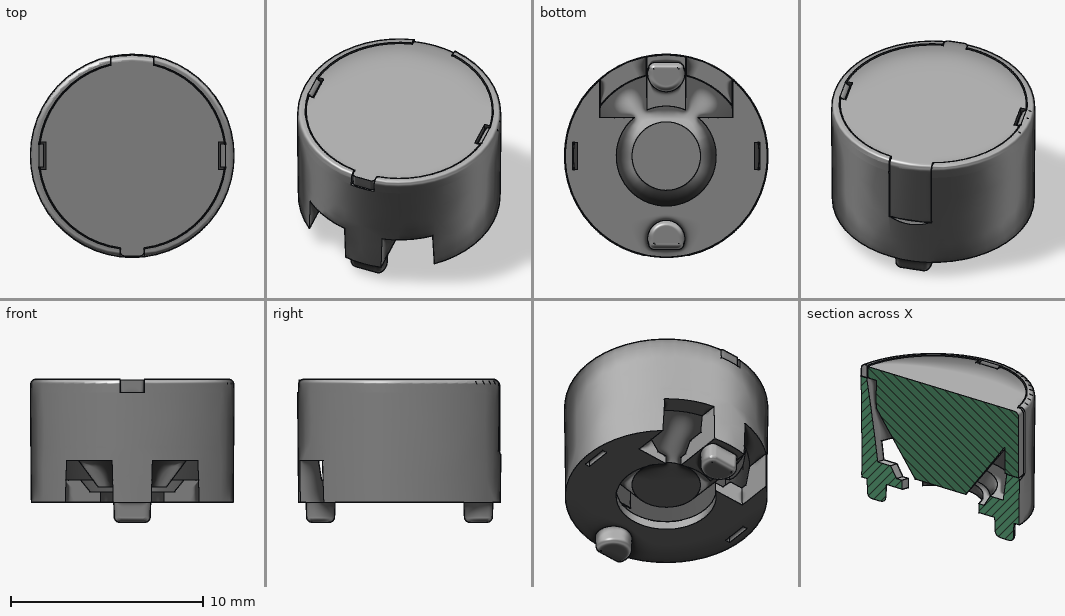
import cadquery as cq
import math

housing_height = 6.4
parting_height = 5.7
bottom_radius = 5.25
parting_radius = 5.3
top_radius = 5.27
rim_fillet = 0.26

floor_thickness = 1.15
cavity_floor_radius = 4.17
rim_bore_radius = 4.89
opening_radius = 2.6
countersink_height = 0.53
countersink_bottom_radius = 2.95
countersink_top_radius = 3.34

window_height = 2.165
post_half_width_bottom = 0.99
post_half_width_top = 1.045
window_outer_x_bottom = 3.48
window_outer_x_top = 3.415
window_back_y = -2.0

foot_radius = 0.97
foot_center_y = 4.31
foot_flat_y = 4.86
foot_length = 1.05
foot_taper = 2.0
foot_corner_fillet = 0.32
foot_end_fillet = 0.3

lid_top = 6.36
lid_radius = 4.83
lid_underside = parting_height
hub_radius = 4.3
cone_tip_height = 0.8
cone_tip_radius = 1.78
cone_slope = 0.75
cone_top = cone_tip_height + (hub_radius - cone_tip_radius) / cone_slope

front_notch_width = 1.27
front_tab_width = 1.22
front_tab_y = -5.21
front_tab_corner_radius = 0.2

rear_slot_width = 2.28
rear_leg_width = 2.2
rear_leg_radius = 5.22
rear_leg_inner_y = 4.25
rear_leg_fillet = 0.32
rear_slot_bottom = 2.67
rear_slot_inner_y = 3.25
rear_ledge_chamfer_height = 0.21
rear_ledge_chamfer_depth = 0.1

hook_width = 1.2
hook_tip_x = 4.6
hook_root_x = 4.84
hook_bottom = 5.95
hook_tip_height = 0.24
hook_embed_x = 4.95
relief_outer_x = 4.87
recess_width = 1.42
recess_inner_x = 4.49

reach = 8.0


def block(x_min, x_max, y_min, y_max, z_min, z_max):
    """Axis-aligned box between the given limits."""
    size = (x_max - x_min, y_max - y_min, z_max - z_min)
    return cq.Workplane("XY").box(*size, centered=False).translate((x_min, y_min, z_min))


def revolved(profile):
    """Solid of revolution about Z from (radius, height) points."""
    return cq.Workplane("XZ").polyline(profile).close().revolve(360, (0, 0, 0), (0, 1, 0))


def shell():
    """Drafted round shell with a tapered cavity and a countersunk floor opening."""
    outside = revolved([
        (0, 0),
        (bottom_radius, 0),
        (parting_radius, parting_height),
        (top_radius, housing_height),
        (0, housing_height),
    ]).faces(">Z").edges().fillet(rim_fillet)
    cavity = revolved([
        (0, 0),
        (opening_radius, 0),
        (opening_radius, countersink_height),
        (countersink_bottom_radius, countersink_height),
        (countersink_top_radius, floor_thickness),
        (cavity_floor_radius, floor_thickness),
        (rim_bore_radius, parting_height),
        (rim_bore_radius, housing_height),
        (0, housing_height),
    ])
    return outside.cut(cavity)


def window(side):
    """Drafted opening in the front wall; side is -1 or +1 along X."""
    return (
        cq.Workplane("XZ", origin=(0, window_back_y, 0))
        .polyline([
            (side * post_half_width_bottom, 0),
            (side * window_outer_x_bottom, 0),
            (side * window_outer_x_top, window_height),
            (side * post_half_width_top, window_height),
        ])
        .close()
        .extrude(reach)
    )


def foot(angle):
    """Foot under the floor; drawn at the front (-Y) and turned about Z by the angle."""
    flat_offset = foot_flat_y - foot_center_y
    flat_half_width = math.sqrt(foot_radius**2 - flat_offset**2)
    tapered = (
        cq.Workplane("XY")
        .moveTo(-flat_half_width, -foot_flat_y)
        .lineTo(flat_half_width, -foot_flat_y)
        .threePointArc((0, foot_radius - foot_center_y), (-flat_half_width, -foot_flat_y))
        .close()
        .extrude(-foot_length, taper=foot_taper)
    )
    rounded_sides = tapered.edges("%BSPLINE").fillet(foot_corner_fillet)
    rounded = rounded_sides.faces("<Z").edges().fillet(foot_end_fillet)
    return rounded.rotate((0, 0, 0), (0, 0, 1), angle)


def rear_slot():
    """Slot through the rear wall; its bottom ledge slopes down at the outer surface."""
    half_width = rear_slot_width / 2
    ledge_y = bottom_radius + (parting_radius - bottom_radius) * rear_slot_bottom / parting_height
    slope = rear_ledge_chamfer_height / rear_ledge_chamfer_depth
    return (
        cq.Workplane("YZ", origin=(-half_width, 0, 0))
        .polyline([
            (rear_slot_inner_y, rear_slot_bottom),
            (ledge_y - rear_ledge_chamfer_depth, rear_slot_bottom),
            (ledge_y, rear_slot_bottom - rear_ledge_chamfer_height),
            (reach, rear_slot_bottom - rear_ledge_chamfer_height - slope * (reach - ledge_y)),
            (reach, housing_height),
            (rear_slot_inner_y, housing_height),
        ])
        .close()
        .extrude(rear_slot_width)
    )


def hook(side):
    """Snap hook on the bore of the rim with a sloped lead-in; side is -1 or +1 along X."""
    return (
        cq.Workplane("XZ", origin=(0, hook_width / 2, 0))
        .polyline([
            (side * hook_tip_x, hook_bottom),
            (side * hook_tip_x, hook_bottom + hook_tip_height),
            (side * hook_root_x, housing_height),
            (side * hook_embed_x, housing_height),
            (side * hook_embed_x, hook_bottom),
        ])
        .close()
        .extrude(hook_width)
    )


def hook_relief(side):
    """Vertical opening under a hook, through the wall and floor."""
    x_limits = sorted((side * hook_tip_x, side * relief_outer_x))
    return block(*x_limits, -recess_width / 2, recess_width / 2, 0, hook_bottom)


def make_housing():
    half_notch = front_notch_width / 2
    body = shell()
    body = body.cut(block(-half_notch, half_notch, -reach, 0, parting_height, housing_height))
    body = body.cut(rear_slot())
    for side in (-1, 1):
        body = body.cut(window(side))
        body = body.cut(hook_relief(side))
        body = body.union(hook(side))
    for angle in (0, 180):
        body = body.union(foot(angle))
    return body


def lid_core():
    """Disc with a hub below it that narrows to a blunt cone."""
    return revolved([
        (0, cone_tip_height),
        (cone_tip_radius, cone_tip_height),
        (hub_radius, cone_top),
        (hub_radius, lid_underside),
        (lid_radius, lid_underside),
        (lid_radius, lid_top),
        (0, lid_top),
    ])


def front_tab():
    half_width = front_tab_width / 2
    tab = block(-half_width, half_width, front_tab_y, 0, lid_underside, lid_top)
    return tab.edges("|Z and <Y").fillet(front_tab_corner_radius)


def rear_leg():
    half_width = rear_leg_width / 2
    drum = (
        cq.Workplane("XY", origin=(0, 0, rear_slot_bottom))
        .circle(rear_leg_radius)
        .extrude(lid_top - rear_slot_bottom)
        .faces(">Z").edges().fillet(rear_leg_fillet)
    )
    return drum.intersect(
        block(-half_width, half_width, rear_leg_inner_y, reach, rear_slot_bottom, lid_top)
    )


def make_lid():
    half_recess = recess_width / 2
    body = lid_core()
    for side in (-1, 1):
        x_limits = sorted((side * recess_inner_x, side * reach))
        body = body.cut(block(*x_limits, -half_recess, half_recess, hook_bottom, lid_top))
    return body.union(front_tab()).union(rear_leg())


housing = make_housing()
lid = make_lid()

result = cq.Compound.makeCompound([housing.solids().val(), lid.solids().val()])